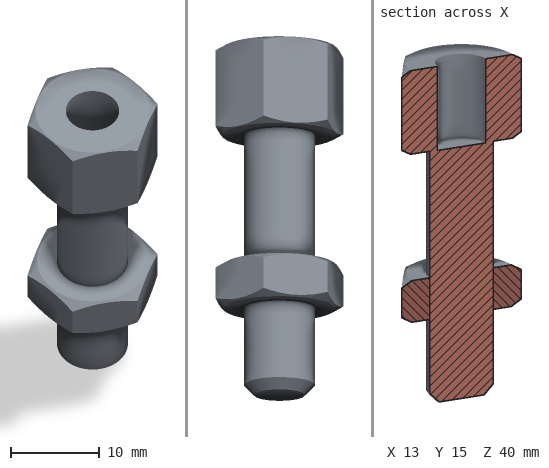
import cadquery as cq
import math

total_length = 40.0
across_flats = 13.0
across_corners = across_flats / math.cos(math.radians(30))
head_height = total_length / 4
shank_diameter = 8.0
tip_chamfer = 1.15

socket_diameter = 6.0
socket_depth = head_height

nut_height = head_height / 2
nut_bottom = 10.0

head_bevel_diameter = 12.8
nut_bevel_diameter = 12.5
bevel_angle = 30.0


def bevelled_hexagon(bottom, height, bevel_diameter):
    """Upright hexagon, flats facing +X and -X, corners bevelled at both ends."""
    hexagon = (
        cq.Workplane("XY", origin=(0, 0, bottom))
        .polygon(6, across_corners)
        .extrude(height)
        .rotate((0, 0, 0), (0, 0, 1), 30)
    )
    end_radius = bevel_diameter / 2
    corner_radius = across_corners / 2
    bevel_drop = (corner_radius - end_radius) * math.tan(math.radians(bevel_angle))
    top = bottom + height
    envelope = (
        cq.Workplane("XZ")
        .moveTo(0, bottom)
        .lineTo(end_radius, bottom)
        .lineTo(corner_radius, bottom + bevel_drop)
        .lineTo(corner_radius, top - bevel_drop)
        .lineTo(end_radius, top)
        .lineTo(0, top)
        .close()
        .revolve(360, (0, 0, 0), (0, 1, 0))
    )
    return hexagon.intersect(envelope)


def make_bolt():
    """Hexagon head with a blind socket, on a shank with a chamfered tip."""
    head_bottom = total_length - head_height
    shank = (
        cq.Workplane("XY")
        .circle(shank_diameter / 2)
        .extrude(head_bottom)
        .faces("<Z")
        .chamfer(tip_chamfer)
    )
    socket = (
        cq.Workplane("XY", origin=(0, 0, total_length - socket_depth))
        .circle(socket_diameter / 2)
        .extrude(socket_depth)
    )
    head = bevelled_hexagon(head_bottom, head_height, head_bevel_diameter)
    return head.union(shank).cut(socket)


def make_nut():
    """Hexagon nut with a bore that fits the shank."""
    bore = (
        cq.Workplane("XY", origin=(0, 0, nut_bottom))
        .circle(shank_diameter / 2)
        .extrude(nut_height)
    )
    return bevelled_hexagon(nut_bottom, nut_height, nut_bevel_diameter).cut(bore)


bolt = make_bolt()
nut = make_nut()
result = cq.Compound.makeCompound([bolt.val(), nut.val()])